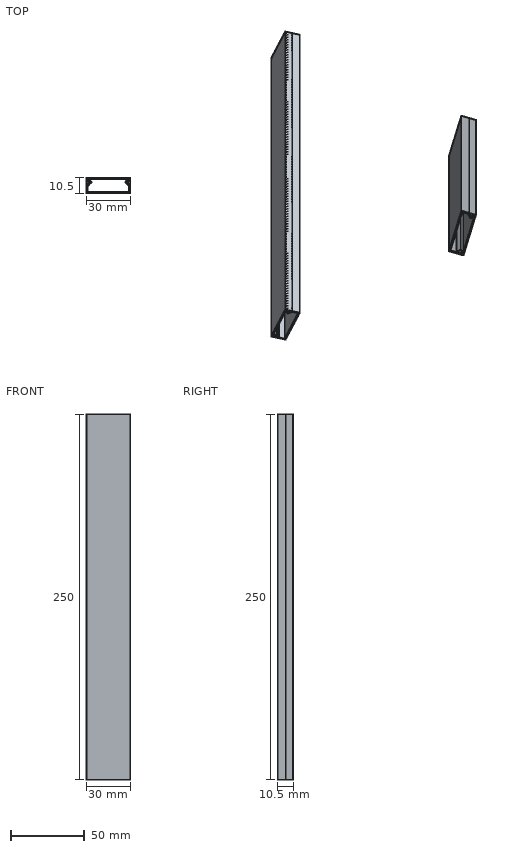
import cadquery as cq

width = 30.0
depth = 10.5
length = 250.0

floor_thickness = 1.0
side_wall = 0.95
cover_wall = 0.9
flange_depth = 5.0

tip_reach = 3.5
tip_depth = 2.95
lip_top_reach = 1.85
lip_top_thickness = 0.5

groove_reach = 1.8
groove_depth = 2.5
ridge_rise = 0.4

half_width = width / 2
floor_y = -depth / 2
cover_y = depth / 2
floor_inner_y = floor_y + floor_thickness
joint_y = cover_y - flange_depth
plate_inner_y = cover_y - cover_wall
wall_inner_x = half_width - side_wall
flange_inner_x = half_width - cover_wall

tip_x = half_width - tip_reach
tip_y = cover_y - tip_depth
lip_bottom_y = tip_y - (tip_reach - side_wall)
lip_top_inner_x = half_width - lip_top_reach
lip_top_outer_x = lip_top_inner_x + lip_top_thickness
groove_x = half_width - groove_reach
groove_y = cover_y - groove_depth
ridge_top_y = groove_y + ridge_rise


def symmetric_extrusion(right_half):
    """Extrude along Z the outline made of a right half and its mirror image."""
    left_half = [(-x, y) for x, y in reversed(right_half)]
    return cq.Workplane("XY").polyline(right_half + left_half).close().extrude(length)


def make_channel():
    """Floor with two side walls that end in V-shaped snap lips."""
    return symmetric_extrusion([
        (half_width, floor_y),
        (half_width, joint_y),
        (flange_inner_x, joint_y),
        (groove_x, groove_y),
        (lip_top_outer_x, plate_inner_y),
        (lip_top_inner_x, plate_inner_y),
        (tip_x, tip_y),
        (wall_inner_x, lip_bottom_y),
        (wall_inner_x, floor_inner_y),
    ])


def make_cover():
    """Flat plate with two flanges whose ridges snap into the lip grooves."""
    return symmetric_extrusion([
        (half_width, cover_y),
        (half_width, joint_y),
        (flange_inner_x, joint_y),
        (groove_x, groove_y),
        (flange_inner_x, ridge_top_y),
        (flange_inner_x, plate_inner_y),
    ])


channel = make_channel()
cover = make_cover()
result = cq.Compound.makeCompound([channel.val(), cover.val()])